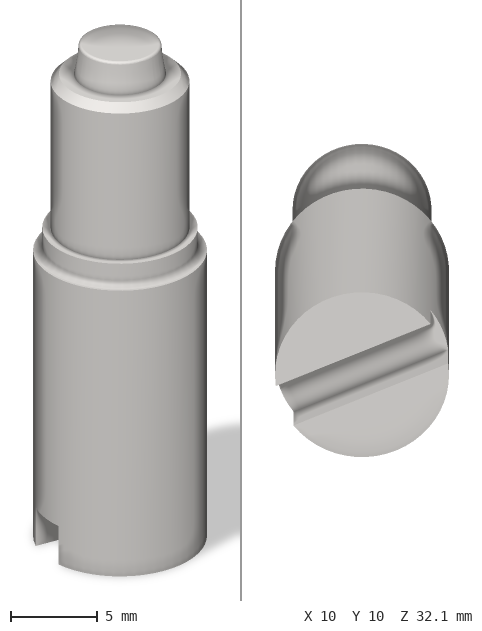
import cadquery as cq

TOTAL_HEIGHT = 32.1

BARREL_DIAMETER = 10.0
SHOULDER_Z = 18.62
COLLAR_DIAMETER = 8.95
COLLAR_TOP_Z = 20.1
COLLAR_FILLET = 0.4
SLOT_WIDTH = 2.6
SLOT_DEPTH = 2.5

SHAFT_DIAMETER = 8.0
SHAFT_CHAMFER = 0.48
SEAT_DEPTH = 10.0
TIP_HEIGHT = 2.0
TIP_BASE_DIAMETER = 5.3
TIP_MIDDLE_DIAMETER = 4.95
TIP_TOP_DIAMETER = 4.75
TIP_ROUND = 0.15

SHAFT_TOP_Z = TOTAL_HEIGHT - TIP_HEIGHT
SEAT_Z = COLLAR_TOP_Z - SEAT_DEPTH


def cylinder(diameter, bottom, top):
    """Upright cylinder on the Z axis between two heights."""
    return cq.Workplane("XY").workplane(offset=bottom).circle(diameter / 2).extrude(top - bottom)


def make_collar_fillet():
    """Concave ring that blends the collar into the shoulder."""
    collar_radius = COLLAR_DIAMETER / 2
    arc_middle = COLLAR_FILLET * (1 - 0.5**0.5)
    return (
        cq.Workplane("XZ")
        .moveTo(0, SHOULDER_Z)
        .lineTo(collar_radius + COLLAR_FILLET, SHOULDER_Z)
        .threePointArc(
            (collar_radius + arc_middle, SHOULDER_Z + arc_middle),
            (collar_radius, SHOULDER_Z + COLLAR_FILLET),
        )
        .lineTo(0, SHOULDER_Z + COLLAR_FILLET)
        .close()
        .revolve(360, (0, 0, 0), (0, 1, 0))
    )


def make_housing():
    """Stepped housing with a bottom slot and a blind seat for the plunger."""
    barrel = cylinder(BARREL_DIAMETER, 0, SHOULDER_Z)
    collar = cylinder(COLLAR_DIAMETER, SHOULDER_Z, COLLAR_TOP_Z)
    seat = cylinder(SHAFT_DIAMETER, SEAT_Z, COLLAR_TOP_Z)
    slot = cq.Workplane("XY").rect(SLOT_WIDTH, 2 * BARREL_DIAMETER).extrude(SLOT_DEPTH)
    return barrel.union(collar).union(make_collar_fillet()).cut(seat).cut(slot)


def make_tip():
    """Tip with a slightly hollow flared side and a rounded top edge."""
    return (
        cq.Workplane("XZ")
        .moveTo(0, SHAFT_TOP_Z)
        .lineTo(TIP_BASE_DIAMETER / 2, SHAFT_TOP_Z)
        .threePointArc(
            (TIP_MIDDLE_DIAMETER / 2, SHAFT_TOP_Z + TIP_HEIGHT / 2),
            (TIP_TOP_DIAMETER / 2, TOTAL_HEIGHT),
        )
        .lineTo(0, TOTAL_HEIGHT)
        .close()
        .revolve(360, (0, 0, 0), (0, 1, 0))
        .faces(">Z")
        .edges()
        .fillet(TIP_ROUND)
    )


def make_plunger():
    """Chamfered shaft, seated in the housing, with the flared tip on top."""
    shaft = cylinder(SHAFT_DIAMETER, SEAT_Z, SHAFT_TOP_Z).faces(">Z").edges().chamfer(SHAFT_CHAMFER)
    return shaft.union(make_tip())


housing = make_housing()
plunger = make_plunger()

result = cq.Compound.makeCompound([housing.val(), plunger.val()])